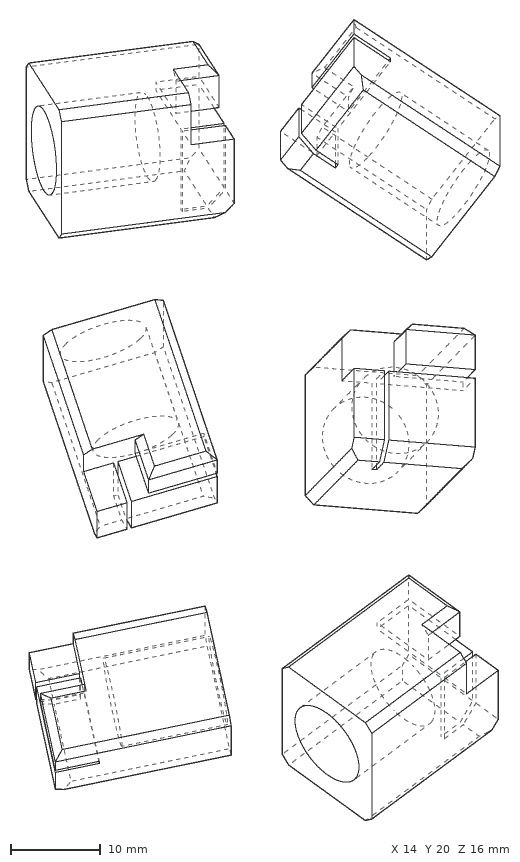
import cadquery as cq

width = 14.0
length = 20.0
height = 16.0
edge_chamfer = 1.0
bottom_end_chamfer = 2.0

bore_diameter = 10.0
bore_depth = 12.0

end_cut_depth = 5.0
tongue_width = 8.0
slot_bottom = 10.0
slot_height = 1.0
split_start = 10.0
split_width = 0.5

end_cut_start = length - end_cut_depth


def box(x, y, z, size_x, size_y, size_z):
    """Box with its lowest corner at (x, y, z)."""
    return cq.Workplane("XY").box(size_x, size_y, size_z, centered=False).translate((x, y, z))


def end_wedge(edge_z, size, inward):
    """Wedge along X that bevels the +Y end; inward is the Z direction into the block."""
    return (
        cq.Workplane("YZ")
        .moveTo(length, edge_z)
        .lineTo(length - size, edge_z)
        .lineTo(length, edge_z + inward * size)
        .close()
        .extrude(width)
    )


body = box(0, 0, 0, width, length, height).edges("|Y").chamfer(edge_chamfer)

body = body.cut(end_wedge(height, edge_chamfer, -1))
body = body.cut(end_wedge(0, bottom_end_chamfer, 1))

notch_width = width - tongue_width
notch_height = height - slot_bottom
body = body.cut(box(tongue_width, end_cut_start, slot_bottom, notch_width, end_cut_depth, notch_height))

tongue_bevel = (
    cq.Workplane("XZ", origin=(0, length, 0))
    .moveTo(tongue_width, height)
    .lineTo(tongue_width - edge_chamfer, height)
    .lineTo(tongue_width, height - edge_chamfer)
    .close()
    .extrude(end_cut_depth)
)
body = body.cut(tongue_bevel)

body = body.cut(box(0, end_cut_start, slot_bottom, width, end_cut_depth, slot_height))

body = body.cut(box(split_start, end_cut_start, 0, split_width, end_cut_depth, slot_bottom))

bore = (
    cq.Workplane("XZ")
    .center(width / 2, height / 2)
    .circle(bore_diameter / 2)
    .extrude(-bore_depth)
)
result = body.cut(bore)